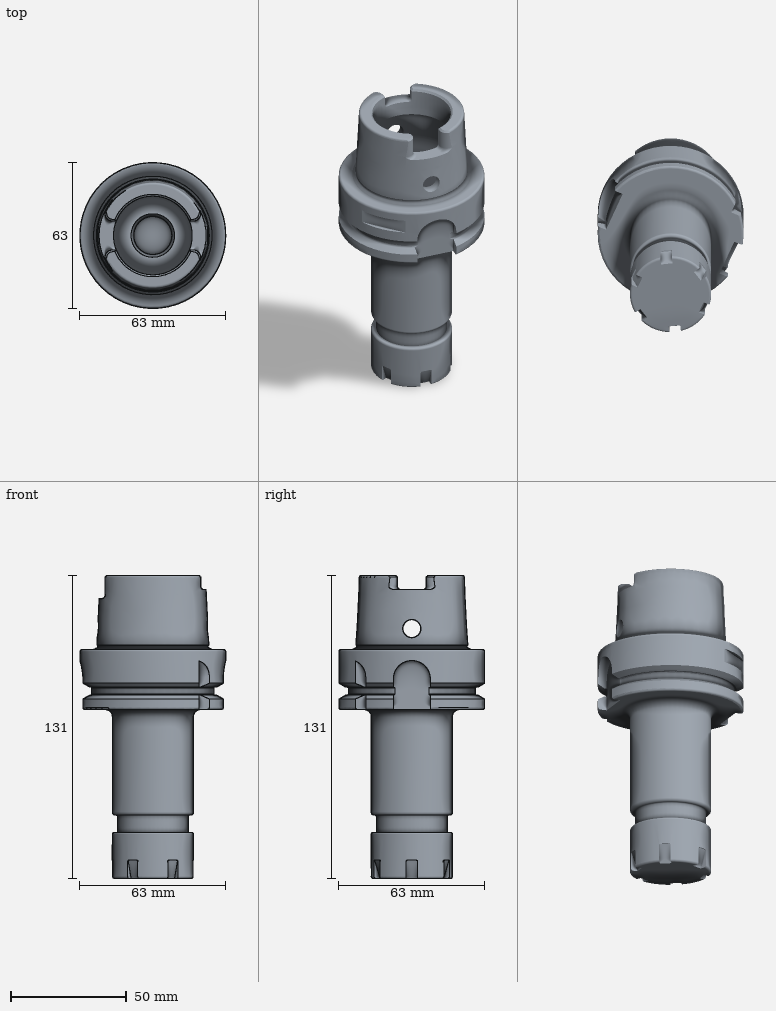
import cadquery as cq
import math


SHANK_LENGTH = 32.0
GAUGE_RADIUS = 24.0
GAUGE_HEIGHT = 6.3
TAPER_SLOPE = 1 / 20
RIM_ROUND = 1.0
RIM_CHAMFER = 0.8
RELIEF_TOP = 2.0
RELIEF_BOTTOM = 0.6
RELIEF_RADIUS = 23.9
RELIEF_UPPER_CONE_HEIGHT = 0.5
RELIEF_FILLET = 0.5
RELIEF_OUTER_RADIUS = 25.6

FLANGE_RADIUS = 31.5
FLANGE_BOTTOM = -26.0
FLANGE_ROUND = 1.0
GROOVE_RADIUS = 27.5
GROOVE_CENTRE = -18.0
GROOVE_WIDTH = 3.5
GROOVE_MOUTH_WIDTH = 6.8
GROOVE_CORNER_ROUND = 0.4
GROOVE_FLANK_ANGLE = 30.0

BODY_RADIUS = 17.55
BODY_BOTTOM = -71.6
BODY_FILLET = 3.0
BODY_ROUND = 1.3
NECK_RADIUS = 15.35
NECK_FILLET = 0.4
NUT_TOP = -79.0
NUT_BOTTOM = -99.0
NUT_RADIUS = 17.55
NUT_TOP_ROUND = 0.9
NUT_BOTTOM_ROUND = 1.0

THROAT_RADIUS = 17.0
THROAT_BOTTOM = 19.5
UNDERCUT_RADIUS = 20.0
BORE_FLOOR = 2.5
BORE_FILLET = 4.2
TUBE_SEAT_MOUTH_RADIUS = 9.4
TUBE_SEAT_FLOOR_RADIUS = 8.2
TUBE_SEAT_DEPTH = 6.0

SLOT_WIDTH = 12.4
SLOT_FLAT_DISTANCE = 20.7
SLOT_CORNER_RADIUS = 3.4
SLOT_FLOOR_FILLET = 1.4
SLOT_FLOOR_LEFT = 22.0
SLOT_FLOOR_RIGHT = 25.9
CROSS_HOLE_DIAMETER = 7.7
CROSS_HOLE_HEIGHT = 9.0

KEYWAY_FLOOR_DISTANCE = 26.5
KEYWAY_LEFT_WIDTH = 18.0
KEYWAY_RIGHT_WIDTH = 16.0
KEYWAY_TOP = -4.8
NOTCH_WALL_DISTANCE = 19.9
NOTCH_RADIUS = 7.6
NOTCH_ARC_CENTRE = -11.9
LABEL_FLAT_DISTANCE = 29.8
LABEL_FLAT_ANGLE = 135.0
LABEL_FLAT_TOP = -4.0
LABEL_FLAT_HEIGHT = 6.0

WRENCH_SLOT_COUNT = 6
WRENCH_SLOT_WIDTH = 5.0
WRENCH_SLOT_TOP = -91.0
WRENCH_SLOT_TOP_DISTANCE = 17.1
WRENCH_SLOT_BOTTOM_DISTANCE = 14.4
WRENCH_SLOT_CORNER = 0.7

CLEARANCE = 5.0


def taper_radius(height):
    return GAUGE_RADIUS - (height - GAUGE_HEIGHT) * TAPER_SLOPE


def revolved(profile):
    return profile.revolve(360, (0, 0, 0), (0, 1, 0))


def make_body():
    """Revolve the outer profile, from the shank rim down to the nut."""
    rim_round_foot = SHANK_LENGTH - RIM_ROUND
    profile = (
        cq.Workplane("XZ")
        .moveTo(0, SHANK_LENGTH)
        .lineTo(taper_radius(SHANK_LENGTH) - RIM_ROUND, SHANK_LENGTH)
        .radiusArc((taper_radius(rim_round_foot), rim_round_foot), RIM_ROUND)
        .lineTo(taper_radius(RELIEF_TOP), RELIEF_TOP)
        .lineTo(RELIEF_RADIUS, RELIEF_TOP - RELIEF_UPPER_CONE_HEIGHT)
        .lineTo(RELIEF_RADIUS, RELIEF_BOTTOM + RELIEF_FILLET)
        .radiusArc((RELIEF_RADIUS + RELIEF_FILLET, RELIEF_BOTTOM), -RELIEF_FILLET)
        .lineTo(RELIEF_OUTER_RADIUS, 0)
        .lineTo(FLANGE_RADIUS - FLANGE_ROUND, 0)
        .radiusArc((FLANGE_RADIUS, -FLANGE_ROUND), FLANGE_ROUND)
        .lineTo(FLANGE_RADIUS, FLANGE_BOTTOM + FLANGE_ROUND)
        .radiusArc((FLANGE_RADIUS - FLANGE_ROUND, FLANGE_BOTTOM), FLANGE_ROUND)
        .lineTo(BODY_RADIUS + BODY_FILLET, FLANGE_BOTTOM)
        .radiusArc((BODY_RADIUS, FLANGE_BOTTOM - BODY_FILLET), -BODY_FILLET)
        .lineTo(BODY_RADIUS, BODY_BOTTOM + BODY_ROUND)
        .radiusArc((BODY_RADIUS - BODY_ROUND, BODY_BOTTOM), BODY_ROUND)
        .lineTo(NECK_RADIUS + NECK_FILLET, BODY_BOTTOM)
        .radiusArc((NECK_RADIUS, BODY_BOTTOM - NECK_FILLET), -NECK_FILLET)
        .lineTo(NECK_RADIUS, NUT_TOP)
        .lineTo(NUT_RADIUS - NUT_TOP_ROUND, NUT_TOP)
        .radiusArc((NUT_RADIUS, NUT_TOP - NUT_TOP_ROUND), NUT_TOP_ROUND)
        .lineTo(NUT_RADIUS, NUT_BOTTOM + NUT_BOTTOM_ROUND)
        .radiusArc((NUT_RADIUS - NUT_BOTTOM_ROUND, NUT_BOTTOM), NUT_BOTTOM_ROUND)
        .lineTo(0, NUT_BOTTOM)
        .close()
    )
    return revolved(profile)


def make_gripper_groove():
    """Ring cutter: a rounded floor groove whose mouth opens with conical flanks."""
    half_width = GROOVE_WIDTH / 2
    half_mouth = GROOVE_MOUTH_WIDTH / 2
    flank_height = half_mouth - half_width
    flank_foot_radius = FLANGE_RADIUS - flank_height / math.tan(math.radians(GROOVE_FLANK_ANGLE))
    outer = FLANGE_RADIUS + CLEARANCE
    profile = (
        cq.Workplane("XZ", origin=(0, 0, GROOVE_CENTRE))
        .moveTo(GROOVE_RADIUS, half_width - GROOVE_CORNER_ROUND)
        .radiusArc((GROOVE_RADIUS + GROOVE_CORNER_ROUND, half_width), GROOVE_CORNER_ROUND)
        .lineTo(flank_foot_radius, half_width)
        .lineTo(FLANGE_RADIUS, half_mouth)
        .lineTo(outer, half_mouth)
        .lineTo(outer, -half_mouth)
        .lineTo(FLANGE_RADIUS, -half_mouth)
        .lineTo(flank_foot_radius, -half_width)
        .lineTo(GROOVE_RADIUS + GROOVE_CORNER_ROUND, -half_width)
        .radiusArc((GROOVE_RADIUS, GROOVE_CORNER_ROUND - half_width), GROOVE_CORNER_ROUND)
        .close()
    )
    return revolved(profile)


def make_bore():
    """Shank bore: a throat, a wider undercut below it and the coolant tube seat in the floor."""
    profile = (
        cq.Workplane("XZ")
        .moveTo(0, SHANK_LENGTH)
        .lineTo(THROAT_RADIUS + RIM_CHAMFER, SHANK_LENGTH)
        .lineTo(THROAT_RADIUS, SHANK_LENGTH - RIM_CHAMFER)
        .lineTo(THROAT_RADIUS, THROAT_BOTTOM)
        .lineTo(UNDERCUT_RADIUS, THROAT_BOTTOM)
        .lineTo(UNDERCUT_RADIUS, BORE_FLOOR + BORE_FILLET)
        .radiusArc((UNDERCUT_RADIUS - BORE_FILLET, BORE_FLOOR), BORE_FILLET)
        .lineTo(TUBE_SEAT_MOUTH_RADIUS, BORE_FLOOR)
        .lineTo(TUBE_SEAT_FLOOR_RADIUS, BORE_FLOOR - TUBE_SEAT_DEPTH)
        .lineTo(0, BORE_FLOOR - TUBE_SEAT_DEPTH)
        .close()
    )
    return revolved(profile)


def drive_slot_outline(height):
    """Slot outline on +X: its rounded mouth corners run out into the shank's outside."""
    half_width = SLOT_WIDTH / 2
    corner_x = SLOT_FLAT_DISTANCE - SLOT_CORNER_RADIUS
    corner_y = half_width + SLOT_CORNER_RADIUS
    corner_distance = math.hypot(corner_x, corner_y)
    run_out_scale = (corner_distance + SLOT_CORNER_RADIUS) / corner_distance
    arc_end_x = corner_x * run_out_scale
    arc_end_y = corner_y * run_out_scale
    tangent_x = -CLEARANCE * corner_y / corner_distance
    tangent_y = CLEARANCE * corner_x / corner_distance
    outer = SLOT_FLAT_DISTANCE + 2 * CLEARANCE
    return (
        cq.Workplane("XY", origin=(0, 0, height))
        .moveTo(0, -half_width)
        .lineTo(corner_x, -half_width)
        .radiusArc((arc_end_x, -arc_end_y), SLOT_CORNER_RADIUS)
        .lineTo(arc_end_x + tangent_x, -arc_end_y - tangent_y)
        .lineTo(outer, -arc_end_y - tangent_y)
        .lineTo(outer, arc_end_y + tangent_y)
        .lineTo(arc_end_x + tangent_x, arc_end_y + tangent_y)
        .lineTo(arc_end_x, arc_end_y)
        .radiusArc((corner_x, half_width), SLOT_CORNER_RADIUS)
        .lineTo(0, half_width)
        .close()
    )


def make_drive_slot(floor_height):
    """Drive slot cutter with a filleted floor, widening at the rim to chamfer the slot edges."""
    slot = drive_slot_outline(floor_height).extrude(SHANK_LENGTH - floor_height)
    slot = slot.faces("<Z").edges().fillet(SLOT_FLOOR_FILLET)
    rim_chamfer = drive_slot_outline(SHANK_LENGTH - RIM_CHAMFER).extrude(2 * RIM_CHAMFER, taper=-45)
    return slot.union(rim_chamfer)


def make_cross_hole():
    return (
        cq.Workplane("YZ", origin=(0, 0, CROSS_HOLE_HEIGHT))
        .circle(CROSS_HOLE_DIAMETER / 2)
        .extrude(FLANGE_RADIUS, both=True)
    )


def make_keyway(width):
    """Cutter on +X: a round-topped slot with a flat floor, open at the flange bottom."""
    radius = width / 2
    arc_centre = KEYWAY_TOP - radius
    return (
        cq.Workplane("YZ", origin=(KEYWAY_FLOOR_DISTANCE, 0, 0))
        .moveTo(-radius, FLANGE_BOTTOM)
        .lineTo(-radius, arc_centre)
        .threePointArc((0, KEYWAY_TOP), (radius, arc_centre))
        .lineTo(radius, FLANGE_BOTTOM)
        .close()
        .extrude(CLEARANCE + FLANGE_RADIUS - KEYWAY_FLOOR_DISTANCE)
    )


def make_orientation_notch():
    """Square notch in the +X -Y quarter of the flange, its inner wall curving out at the top."""
    outer = FLANGE_RADIUS
    arc_top_offset = NOTCH_WALL_DISTANCE + NOTCH_RADIUS
    return (
        cq.Workplane("YZ", origin=(NOTCH_WALL_DISTANCE, 0, 0))
        .moveTo(-NOTCH_WALL_DISTANCE, FLANGE_BOTTOM)
        .lineTo(-NOTCH_WALL_DISTANCE, NOTCH_ARC_CENTRE)
        .radiusArc((-arc_top_offset, NOTCH_ARC_CENTRE + NOTCH_RADIUS), -NOTCH_RADIUS)
        .lineTo(-outer, NOTCH_ARC_CENTRE + NOTCH_RADIUS)
        .lineTo(-outer, FLANGE_BOTTOM)
        .close()
        .extrude(FLANGE_RADIUS - NOTCH_WALL_DISTANCE)
    )


def make_label_flat():
    cutter = cq.Workplane("XY").box(
        CLEARANCE, 2 * FLANGE_RADIUS, LABEL_FLAT_HEIGHT, centered=(False, True, False)
    )
    cutter = cutter.translate((LABEL_FLAT_DISTANCE, 0, LABEL_FLAT_TOP - LABEL_FLAT_HEIGHT))
    return cutter.rotate((0, 0, 0), (0, 0, 1), LABEL_FLAT_ANGLE)


def make_wrench_slot():
    """Cutter on +X: its floor runs deeper toward the nut's end face."""
    outer = NUT_RADIUS + CLEARANCE
    cutter = (
        cq.Workplane("XZ")
        .moveTo(WRENCH_SLOT_TOP_DISTANCE, WRENCH_SLOT_TOP)
        .lineTo(WRENCH_SLOT_BOTTOM_DISTANCE, NUT_BOTTOM)
        .lineTo(outer, NUT_BOTTOM)
        .lineTo(outer, WRENCH_SLOT_TOP)
        .close()
        .extrude(WRENCH_SLOT_WIDTH / 2, both=True)
    )
    return cutter.faces(">Z").edges("|X").fillet(WRENCH_SLOT_CORNER)


def turned(cutter, angle):
    return cutter.rotate((0, 0, 0), (0, 0, 1), angle)


result = make_body()
result = result.cut(make_gripper_groove())
result = result.cut(make_bore())
result = result.cut(make_drive_slot(SLOT_FLOOR_RIGHT))
result = result.cut(turned(make_drive_slot(SLOT_FLOOR_LEFT), 180))
result = result.cut(make_cross_hole())
result = result.cut(make_keyway(KEYWAY_RIGHT_WIDTH))
result = result.cut(turned(make_keyway(KEYWAY_LEFT_WIDTH), 180))
result = result.cut(make_orientation_notch())
result = result.cut(make_label_flat())
for index in range(WRENCH_SLOT_COUNT):
    result = result.cut(turned(make_wrench_slot(), index * 360 / WRENCH_SLOT_COUNT))